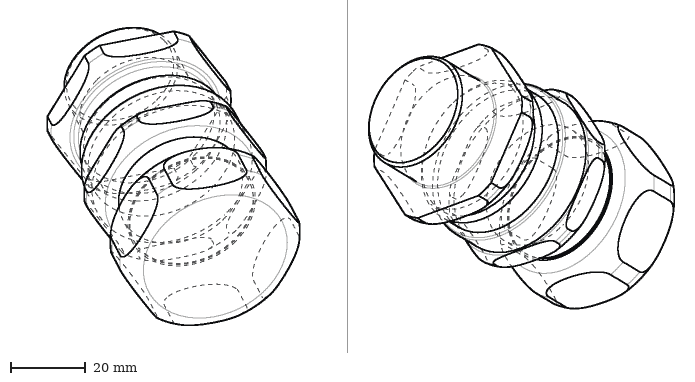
import cadquery as cq
import math


across_flats = 46.0
across_corners = 50.5
corner_radius = across_corners / 2

flange_start = 15.0
hex_width = 7.5
flange_end = flange_start + hex_width
ring_start = 28.2
coupling_start = 36.65
coupling_hex_start = 46.25
coupling_hex_end = coupling_hex_start + hex_width
tube_end = 63.15
back_nut_start = 63.55
back_nut_end = 84.5

thread_radius = 32.0 / 2
thread_chamfer = 0.9
thread_root_fillet = 0.45
neck_radius = 38.4 / 2
neck_fillet = 1.0

ring_radius = 41.27 / 2
ring_chamfer_length = ring_radius - neck_radius

skirt_radius = 45.15 / 2
skirt_fillet = 0.5
front_corner_round = 1.95

rear_corner_round = 4.0

tube_radius = 34.85 / 2

nose_round = 8.0
nose_angle = 62.0
nose_round_end = 72.25
end_corner_round = 5.0


def add_arc(profile, center, radius, start_angle, end_angle):
    """Extend the (x, r) profile by an arc, given by angles in degrees measured from +X."""

    def on_arc(angle):
        turn = math.radians(angle)
        return (center[0] + radius * math.cos(turn), center[1] + radius * math.sin(turn))

    return profile.lineTo(*on_arc(start_angle)).threePointArc(
        on_arc((start_angle + end_angle) / 2), on_arc(end_angle)
    )


def start_profile(x):
    """Begin an (x, r) half profile on the axis."""
    return cq.Workplane("XY").moveTo(x, 0)


def revolve_profile(profile, x_end):
    """Drop the profile to the axis at x_end, close it and turn it about the X axis."""
    return profile.lineTo(x_end, 0).close().revolve(360, (0, 0, 0), (1, 0, 0))


def hex_prism(x_start, x_end):
    """Hexagonal bar along X with flats on top and bottom and corners on +Y and -Y."""
    circumscribed_diameter = across_flats / math.cos(math.radians(30))
    return (
        cq.Workplane("YZ", origin=(x_start, 0, 0))
        .polygon(6, circumscribed_diameter)
        .extrude(x_end - x_start)
    )


def rounded_hex(profile, x_start, x_end):
    """Hexagonal bar trimmed by the solid of revolution of the profile, which rounds its corners."""
    return hex_prism(x_start, x_end).intersect(revolve_profile(profile, x_end))


def rear_round(profile, x_end, radius):
    """Round the hexagon corners towards the face at x_end."""
    return add_arc(profile, (x_end - radius, corner_radius - radius), radius, 90, 0)


def make_entry():
    spigot = start_profile(0).lineTo(0, thread_radius - thread_chamfer)
    spigot = spigot.lineTo(thread_chamfer, thread_radius)
    root_center = (flange_start - thread_root_fillet, thread_radius + thread_root_fillet)
    spigot = add_arc(spigot, root_center, thread_root_fillet, 270, 360)
    spigot = revolve_profile(spigot, flange_start)

    flange = start_profile(flange_start).lineTo(flange_start, corner_radius)
    flange = rear_round(flange, flange_end, rear_corner_round)
    flange = rounded_hex(flange, flange_start, flange_end)

    neck = start_profile(flange_end)
    neck_center = (flange_end + neck_fillet, neck_radius + neck_fillet)
    neck = add_arc(neck, neck_center, neck_fillet, 180, 270)
    neck = revolve_profile(neck.lineTo(ring_start, neck_radius), ring_start)
    return spigot.union(flange).union(neck)


def make_ring():
    profile = (
        start_profile(ring_start)
        .lineTo(ring_start, neck_radius)
        .lineTo(ring_start + ring_chamfer_length, ring_radius)
        .lineTo(coupling_start, ring_radius)
    )
    return revolve_profile(profile, coupling_start)


def make_coupling_nut():
    skirt_center = (coupling_start + skirt_fillet, skirt_radius - skirt_fillet)
    skirt = add_arc(start_profile(coupling_start), skirt_center, skirt_fillet, 180, 90)
    skirt = revolve_profile(skirt.lineTo(coupling_hex_start, skirt_radius), coupling_hex_start)

    front_center = (coupling_hex_start + front_corner_round, corner_radius - front_corner_round)
    hexagon = add_arc(start_profile(coupling_hex_start), front_center, front_corner_round, 180, 90)
    hexagon = rear_round(hexagon, coupling_hex_end, rear_corner_round)
    hexagon = rounded_hex(hexagon, coupling_hex_start, coupling_hex_end)
    return skirt.union(hexagon)


def make_tube():
    profile = (
        start_profile(coupling_hex_end)
        .lineTo(coupling_hex_end, tube_radius)
        .lineTo(tube_end, tube_radius)
    )
    return revolve_profile(profile, tube_end)


def make_back_nut():
    collar = start_profile(tube_end).lineTo(tube_end, tube_radius).lineTo(back_nut_start, tube_radius)
    collar = revolve_profile(collar, back_nut_start)

    round_center = (nose_round_end, corner_radius - nose_round)
    cone_angle = math.radians(nose_angle)
    cone_length = nose_round_end - nose_round * math.sin(cone_angle) - back_nut_start
    cone_end_radius = round_center[1] + nose_round * math.cos(cone_angle)
    nose_radius = cone_end_radius - cone_length * math.tan(cone_angle)

    hexagon = start_profile(back_nut_start).lineTo(back_nut_start, nose_radius)
    hexagon = add_arc(hexagon, round_center, nose_round, 90 + nose_angle, 90)
    hexagon = rear_round(hexagon, back_nut_end, end_corner_round)
    hexagon = rounded_hex(hexagon, back_nut_start, back_nut_end)
    return collar.union(hexagon)


entry = make_entry()
ring = make_ring()
coupling_nut = make_coupling_nut()
tube = make_tube()
back_nut = make_back_nut()

result = cq.Compound.makeCompound(
    [entry.val(), ring.val(), coupling_nut.val(), tube.val(), back_nut.val()]
)